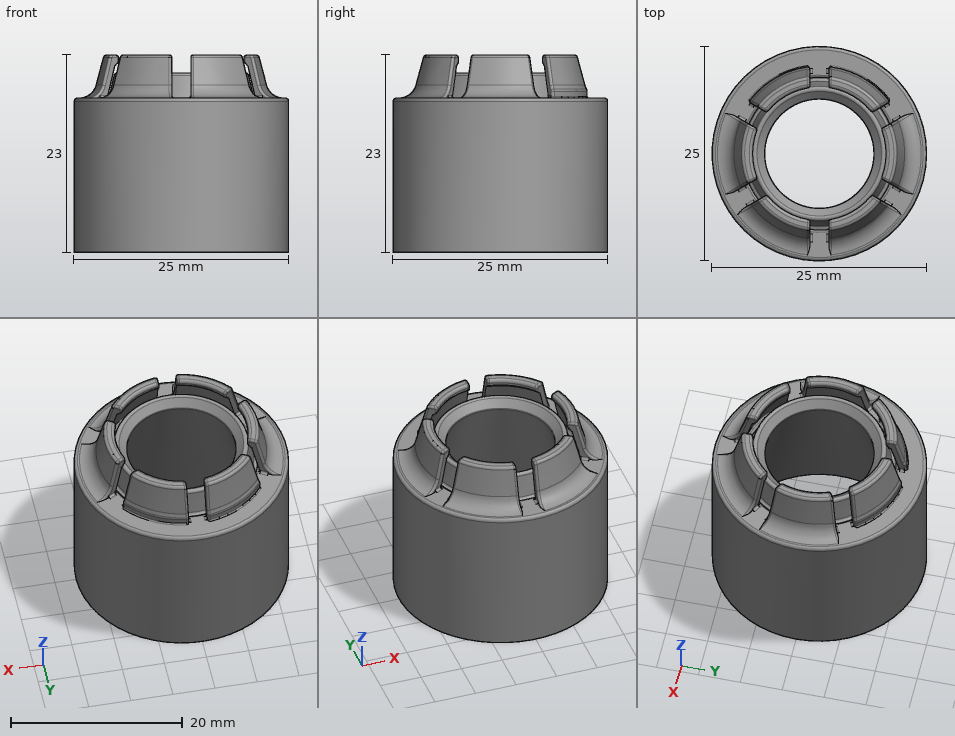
import cadquery as cq
import math

TAPER = math.tan(math.radians(15))
TOLERANCE = 1e-3

BODY_RADIUS = 12.5
BODY_HEIGHT = 18.0
BODY_EDGE_ROUND = 0.4
THROAT_RADIUS = 6.33
THROAT_ROUND = 0.15

COLLAR_TOP = 20.9
COLLAR_CREST_RADIUS = 7.5
COLLAR_CREST_ROUND = 0.35
COLLAR_WALL_ANGLE = 13
MOUTH_ANGLE = 45

GROOVE_FLOOR = 17.75
GROOVE_ROUND = 0.35
GROOVE_OUTER_RADIUS = 8.9

FINGER_COUNT = 6
FINGER_TOP = 23.0
FINGER_TOP_RADIUS = 9.0
FINGER_WALL = 0.97
FINGER_TOP_ROUND = 0.39
FINGER_FLARE_ROUND = 2.0
FINGER_ROOT_ROUND = 0.15
FINGER_END_ROUND = 0.28
FINGER_SINK = 1.0
LIP_RADIUS = 7.77
LIP_HEIGHT = 0.7
LIP_SLOPE_HEIGHT = 0.6
GAP_WIDTH = 2.2
GAP_FOOT_ROUND = 0.28
GAP_FOOT_START = 9.35
GAP_FOOT_END = 10.3

TRIM_RADIUS = 10.2
TRIM_CREST_ROUND = 0.5
TRIM_FOOT_ROUND = 0.15
TRIMMED_FINGERS = (1, 2)

HALF_PITCH = 180 / FINGER_COUNT
FINGER_ROOT = BODY_HEIGHT - FINGER_SINK
GROOVE_RIM = GROOVE_OUTER_RADIUS + BODY_HEIGHT - GROOVE_FLOOR
FINGER_RIM = BODY_RADIUS - BODY_EDGE_ROUND


def cone_radius(top_radius, top, height):
    """Radius at a height of a 15 degree cone that widens downwards."""
    return top_radius + (top - height) * TAPER


def round_ring(solid, radius, height, size):
    """Round the circular edge found at the given radius and height."""
    edges = [
        edge
        for edge in solid.edges("%CIRCLE").vals()
        if abs(edge.radius() - radius) < TOLERANCE and abs(edge.Center().z - height) < TOLERANCE
    ]
    return solid.newObject(edges).fillet(size)


def revolve_about_z(profile):
    return profile.close().revolve(360, (0, 0, 0), (0, 1, 0))


def crest_point(angle):
    """Point on the collar crest round, with the angle measured from the outward direction."""
    turn = math.radians(angle)
    radius = COLLAR_CREST_RADIUS + COLLAR_CREST_ROUND * math.cos(turn)
    height = COLLAR_TOP - COLLAR_CREST_ROUND * (1 - math.sin(turn))
    return radius, height


def make_body():
    wall_top = crest_point(COLLAR_WALL_ANGLE)
    mouth_top = crest_point(180 - MOUTH_ANGLE)
    collar_root = wall_top[0] + (wall_top[1] - GROOVE_FLOOR) * math.tan(math.radians(COLLAR_WALL_ANGLE))
    throat_height = mouth_top[1] - (mouth_top[0] - THROAT_RADIUS) * math.tan(math.radians(MOUTH_ANGLE))
    profile = (
        cq.Workplane("XZ")
        .moveTo(cone_radius(THROAT_RADIUS, throat_height, 0), 0)
        .lineTo(BODY_RADIUS, 0)
        .lineTo(BODY_RADIUS, BODY_HEIGHT)
        .lineTo(GROOVE_RIM, BODY_HEIGHT)
        .tangentArcPoint((GROOVE_OUTER_RADIUS, GROOVE_FLOOR), relative=False)
        .lineTo(collar_root, GROOVE_FLOOR)
        .lineTo(*wall_top)
        .threePointArc(crest_point(90), mouth_top)
        .lineTo(THROAT_RADIUS, throat_height)
    )
    body = revolve_about_z(profile)
    body = round_ring(body, BODY_RADIUS, BODY_HEIGHT, BODY_EDGE_ROUND)
    body = round_ring(body, collar_root, GROOVE_FLOOR, GROOVE_ROUND)
    return round_ring(body, THROAT_RADIUS, throat_height, THROAT_ROUND)


def make_finger_ring():
    """Full ring with the finger cross-section, reaching down into the body."""
    inner_top = FINGER_TOP_RADIUS - FINGER_WALL
    lip_bottom = FINGER_TOP - LIP_HEIGHT
    slope_bottom = lip_bottom - LIP_SLOPE_HEIGHT
    inner_root = cone_radius(inner_top, FINGER_TOP, BODY_HEIGHT)
    outer_root = cone_radius(FINGER_TOP_RADIUS, FINGER_TOP, BODY_HEIGHT)
    profile = (
        cq.Workplane("XZ")
        .moveTo(GROOVE_RIM, FINGER_ROOT)
        .lineTo(FINGER_RIM, FINGER_ROOT)
        .lineTo(FINGER_RIM, BODY_HEIGHT)
        .lineTo(outer_root, BODY_HEIGHT)
        .lineTo(FINGER_TOP_RADIUS, FINGER_TOP)
        .lineTo(LIP_RADIUS, FINGER_TOP)
        .lineTo(LIP_RADIUS, lip_bottom)
        .lineTo(cone_radius(inner_top, FINGER_TOP, slope_bottom), slope_bottom)
        .lineTo(inner_root, BODY_HEIGHT)
        .lineTo(GROOVE_RIM, BODY_HEIGHT)
    )
    ring = revolve_about_z(profile)
    ring = round_ring(ring, outer_root, BODY_HEIGHT, FINGER_FLARE_ROUND)
    ring = round_ring(ring, inner_root, BODY_HEIGHT, FINGER_ROOT_ROUND)
    ring = round_ring(ring, FINGER_TOP_RADIUS, FINGER_TOP, FINGER_TOP_ROUND)
    return round_ring(ring, LIP_RADIUS, FINGER_TOP, FINGER_TOP_ROUND)


def trim_flare(ring):
    """Cut the flare back to a vertical face with a rounded crest and a small foot round."""
    keep = (
        cq.Workplane("XZ")
        .moveTo(0, FINGER_ROOT)
        .lineTo(FINGER_RIM, FINGER_ROOT)
        .lineTo(FINGER_RIM, BODY_HEIGHT)
        .lineTo(TRIM_RADIUS, BODY_HEIGHT)
        .lineTo(TRIM_RADIUS, FINGER_TOP)
        .lineTo(0, FINGER_TOP)
    )
    keep = round_ring(revolve_about_z(keep), TRIM_RADIUS, BODY_HEIGHT, TRIM_FOOT_ROUND)
    ring = ring.intersect(keep)
    trim_edges = [
        edge for edge in ring.edges("%CIRCLE").vals() if abs(edge.radius() - TRIM_RADIUS) < TOLERANCE
    ]
    crest = max(trim_edges, key=lambda edge: edge.Center().z)
    return ring.newObject([crest]).fillet(TRIM_CREST_ROUND)


def make_sector():
    """Wedge around +X whose sides run parallel to the gap centre planes, half a gap away."""
    half_angle = math.radians(HALF_PITCH)
    apex = GAP_WIDTH / 2 / math.sin(half_angle)
    reach = 2 * BODY_RADIUS
    half_width = (reach - apex) * math.tan(half_angle)
    outline = [(apex, 0), (reach, -half_width), (reach, half_width)]
    return cq.Workplane("XY").polyline(outline).close().extrude(FINGER_TOP)


def make_gap_foot(end_radius):
    """Concave round where the +Y side of the finger at +X meets the body top."""
    side = -GAP_WIDTH / 2
    middle = GAP_FOOT_ROUND * (1 - math.sqrt(0.5))
    foot = (
        cq.Workplane("YZ", origin=(GAP_FOOT_START, 0, 0))
        .moveTo(side, BODY_HEIGHT)
        .lineTo(side + GAP_FOOT_ROUND, BODY_HEIGHT)
        .threePointArc((side + middle, BODY_HEIGHT + middle), (side, BODY_HEIGHT + GAP_FOOT_ROUND))
        .close()
        .extrude(end_radius - GAP_FOOT_START)
    )
    return foot.rotate((0, 0, 0), (0, 0, 1), HALF_PITCH)


def make_finger(trimmed):
    """One finger centred on +X."""
    ring = make_finger_ring()
    foot_end = GAP_FOOT_END
    if trimmed:
        ring = trim_flare(ring)
        foot_end = TRIM_RADIUS - FINGER_END_ROUND
    finger = ring.intersect(make_sector())
    finger = finger.faces(">Z").edges("%LINE").fillet(FINGER_END_ROUND)
    foot = make_gap_foot(foot_end)
    return finger.union(foot).union(foot.mirror("XZ"))


result = make_body()
for index in range(FINGER_COUNT):
    finger = make_finger(index in TRIMMED_FINGERS)
    result = result.union(finger.rotate((0, 0, 0), (0, 0, 1), 2 * HALF_PITCH * index))